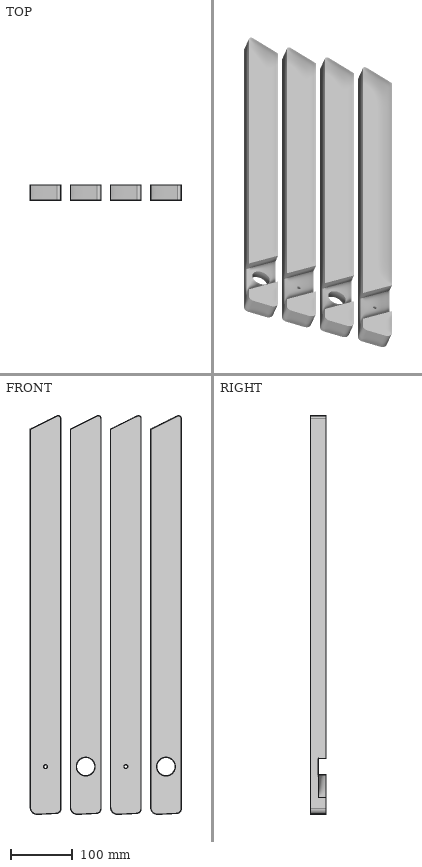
import cadquery as cq
import math

leg_length = 647.0
leg_width = 50.0
leg_thickness = 25.0
overall_width = 245.0
leg_count = 4
leg_pitch = (overall_width - leg_width) / (leg_count - 1)

slant_angle = math.radians(26.5)
tip_radius = 4.5

foot_rise = 2.5
heel_radius = 11.5
toe_radius = 8.0

joint_height = 77.5
rod_hole_diameter = 30.0
screw_hole_diameter = 6.0
notch_depth = leg_thickness / 2
notch_height = 63.5
notch_drop = 37.5


def leg_blank():
    """Flat leg with its front face at Y = 0 and its left edge at X = 0."""
    foot_angle = math.atan2(foot_rise, leg_width)
    heel_corner = heel_radius * (1 - 1 / math.cos(foot_angle) - math.tan(foot_angle))
    tip_rounding = tip_radius * (1 / math.cos(slant_angle) + math.tan(slant_angle) - 1)
    tip_height = leg_length + tip_rounding
    outline = [
        (0, heel_corner),
        (leg_width, heel_corner + foot_rise),
        (leg_width, tip_height),
        (0, tip_height - leg_width * math.tan(slant_angle)),
    ]
    blank = cq.Workplane("XZ").polyline(outline).close().extrude(-leg_thickness)
    blank = blank.edges("|Y and <X").edges("<Z").fillet(heel_radius)
    blank = blank.edges("|Y and >X").edges("<Z").fillet(toe_radius)
    return blank.edges("|Y and >X").edges(">Z").fillet(tip_radius)


def lap_notch():
    """Slanted channel in the back face, falling towards the right edge."""
    left_center = joint_height + notch_drop / 2
    right_center = joint_height - notch_drop / 2
    half_height = notch_height / 2
    outline = [
        (0, left_center - half_height),
        (leg_width, right_center - half_height),
        (leg_width, right_center + half_height),
        (0, left_center + half_height),
    ]
    channel = cq.Workplane("XZ").polyline(outline).close().extrude(-notch_depth)
    return channel.translate((0, leg_thickness - notch_depth, 0))


def joint_hole(diameter):
    """Cylinder through the leg thickness at the crossing point."""
    hole = cq.Workplane("XZ").center(leg_width / 2, joint_height)
    return hole.circle(diameter / 2).extrude(-leg_thickness)


def leg(hole_diameter):
    return leg_blank().cut(lap_notch()).cut(joint_hole(hole_diameter))


def place_legs(hole_diameter, first_position):
    """Legs with one hole size, in every second position of the row."""
    legs = []
    for position in range(first_position, leg_count, 2):
        placed = leg(hole_diameter).translate((position * leg_pitch, 0, 0))
        legs.append(placed.val())
    return legs


screw_legs = place_legs(screw_hole_diameter, 0)
rod_legs = place_legs(rod_hole_diameter, 1)

result = cq.Compound.makeCompound([*screw_legs, *rod_legs])